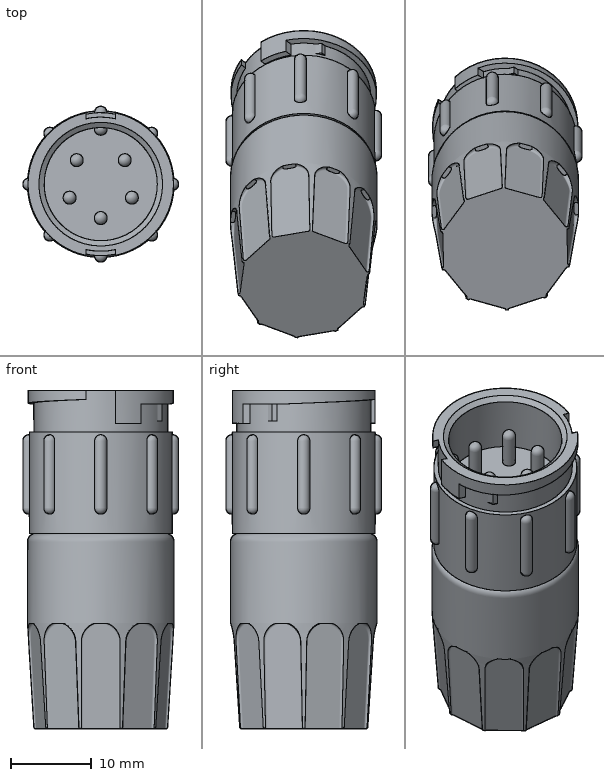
import cadquery as cq
import math

total_height = 41.91
grip_top = 13.06
barrel_top = 24.19
sleeve_top = 36.78
rim_bottom = 40.19
socket_floor = 34.0

grip_foot_radius = 8.28
barrel_radius = 9.08
barrel_shoulder_round = 1.0
sleeve_radius = 8.85
neck_radius = 8.3
rim_radius = 9.0
foot_round = 0.3

flat_count = 10
flat_depth = 0.6
flat_half_width = 2.4
flat_arch_top = 13.25
flat_corner_round = 0.25
flat_tool_height = 2.0

rib_count = 8
rib_radius = 0.76
rib_bottom = 26.58
rib_top = 36.42
rib_reach = 9.65
rib_center_radius = rib_reach - rib_radius

gap_half_width = 1.8
stop_end_x = 4.95
stop_bottom = 37.81
bump_crest_radius = 8.55
bump_start_x = 7.05
bump_end_x = 7.6
bump_bottom = 38.12
ramp_rise = 0.6
ramp_sweep = 100.0
ramp_tool_start = 8.0
ramp_tool_end = 9.8

socket_radius = 7.0
socket_mouth_radius = 7.65
socket_mouth_depth = 0.5
pin_radius = 0.8
pin_circle_radius = 4.2
pin_top = 39.05
pin_angles = (45, 135, 203.5, 270, 336.5)
key_radius = 0.8
key_center_y = 6.85
key_top = 40.55


def cylinder(radius, bottom, top):
    return cq.Workplane("XY").workplane(offset=bottom).circle(radius).extrude(top - bottom)


def block(x_min, x_max, y_min, y_max, z_min, z_max):
    size = (x_max - x_min, y_max - y_min, z_max - z_min)
    return cq.Workplane("XY").box(*size, centered=False).translate((x_min, y_min, z_min))


def sphere(radius, z):
    return cq.Workplane("XY").sphere(radius).translate((0, 0, z))


def both_sides(shape):
    """The shape together with its copy turned half way round the axis."""
    return shape.union(shape.rotate((0, 0, 0), (0, 0, 1), 180))


def domed_pin(radius, bottom, top):
    """Upright pin whose upper end is a hemisphere."""
    dome_center = top - radius
    return cylinder(radius, bottom, dome_center).union(sphere(radius, dome_center))


def make_body():
    """Grip, barrel, sleeve and neck, turned as one solid."""
    round_drop = barrel_shoulder_round * (1 - math.sqrt(0.5))
    profile = (
        cq.Workplane("XZ")
        .lineTo(grip_foot_radius, 0)
        .lineTo(barrel_radius, grip_top)
        .lineTo(barrel_radius, barrel_top - barrel_shoulder_round)
        .threePointArc(
            (barrel_radius - round_drop, barrel_top - round_drop),
            (barrel_radius - barrel_shoulder_round, barrel_top),
        )
        .lineTo(sleeve_radius, barrel_top)
        .lineTo(sleeve_radius, sleeve_top)
        .lineTo(neck_radius, sleeve_top)
        .lineTo(neck_radius, total_height)
        .lineTo(0, total_height)
        .close()
    )
    body = profile.revolve(360, (0, 0), (0, 1))
    return body.faces("<Z").edges().fillet(foot_round)


def cut_flats(body):
    """Arch-topped flats, sunk parallel to the grip cone."""
    taper = math.degrees(math.atan2(barrel_radius - grip_foot_radius, grip_top))
    arch_center = flat_arch_top - flat_half_width
    overrun = 2.0
    tool = (
        cq.Workplane("XZ")
        .moveTo(-flat_half_width, -overrun)
        .lineTo(flat_half_width, -overrun)
        .lineTo(flat_half_width, arch_center)
        .threePointArc((0, flat_arch_top), (-flat_half_width, arch_center))
        .close()
        .extrude(flat_tool_height)
        .faces(">Y")
        .edges()
        .fillet(flat_corner_round)
        .rotate((0, 0, 0), (1, 0, 0), taper)
        .translate((0, flat_depth - grip_foot_radius, 0))
        .intersect(cylinder(2 * barrel_radius, -overrun, grip_top))
    )
    for index in range(flat_count):
        body = body.cut(tool.rotate((0, 0, 0), (0, 0, 1), index * 360 / flat_count))
    return body


def add_ribs(body):
    rib = domed_pin(rib_radius, rib_bottom + rib_radius, rib_top)
    rib = rib.union(sphere(rib_radius, rib_bottom + rib_radius))
    rib = rib.translate((rib_center_radius, 0, 0))
    for index in range(rib_count):
        body = body.union(rib.rotate((0, 0, 0), (0, 0, 1), index * 360 / rib_count))
    return body


def make_ramp_tool():
    """Helical wedge that thins the rim from below, most of all beside the gap at -Y."""
    pitch = ramp_rise * 360 / ramp_sweep
    path = cq.Wire.makeHelix(pitch, ramp_rise, neck_radius)
    tool = (
        cq.Workplane("XZ")
        .moveTo(ramp_tool_start, 0)
        .rect(ramp_tool_end - ramp_tool_start, -ramp_rise, centered=False)
        .sweep(cq.Workplane(path), isFrenet=True)
    )
    gap_angle = 270 - math.degrees(math.asin(gap_half_width / rim_radius))
    return tool.rotate((0, 0, 0), (0, 0, 1), gap_angle - ramp_sweep).translate((0, 0, rim_bottom))


def make_bayonet():
    """Ramped rim with entry gaps, stop blocks and locking bumps, around the neck."""
    rim = cylinder(rim_radius, rim_bottom, total_height).cut(both_sides(make_ramp_tool()))
    gap = block(-gap_half_width, gap_half_width, -rim_radius, rim_radius, rim_bottom, total_height)
    rim = rim.cut(gap).cut(cylinder(neck_radius, rim_bottom, total_height))
    stop = cylinder(rim_radius, stop_bottom, total_height).intersect(
        block(gap_half_width, stop_end_x, -rim_radius, 0, stop_bottom, total_height)
    )
    bump = (
        cq.Workplane("XY")
        .workplane(offset=bump_bottom)
        .moveTo(bump_start_x, 0)
        .lineTo(bump_start_x, -math.sqrt(neck_radius**2 - bump_start_x**2))
        .lineTo(bump_end_x, -math.sqrt(bump_crest_radius**2 - bump_end_x**2))
        .lineTo(bump_end_x, 0)
        .close()
        .extrude(total_height - bump_bottom)
    )
    return rim.union(both_sides(stop)).union(both_sides(bump))


def cut_socket(body):
    socket = (
        cq.Workplane("XZ")
        .moveTo(0, socket_floor)
        .lineTo(socket_radius, socket_floor)
        .lineTo(socket_radius, total_height - socket_mouth_depth)
        .lineTo(socket_mouth_radius, total_height)
        .lineTo(0, total_height)
        .close()
        .revolve(360, (0, 0), (0, 1))
    )
    return body.cut(socket)


def add_contacts(body):
    """Contact pins on the socket floor and the key along the socket wall."""
    pin = domed_pin(pin_radius, socket_floor, pin_top).translate((pin_circle_radius, 0, 0))
    for angle in pin_angles:
        body = body.union(pin.rotate((0, 0, 0), (0, 0, 1), angle))
    key = domed_pin(key_radius, socket_floor, key_top).translate((0, key_center_y, 0))
    return body.union(key)


result = cut_flats(make_body())
result = add_ribs(result)
result = result.union(make_bayonet())
result = cut_socket(result)
result = add_contacts(result).solids()